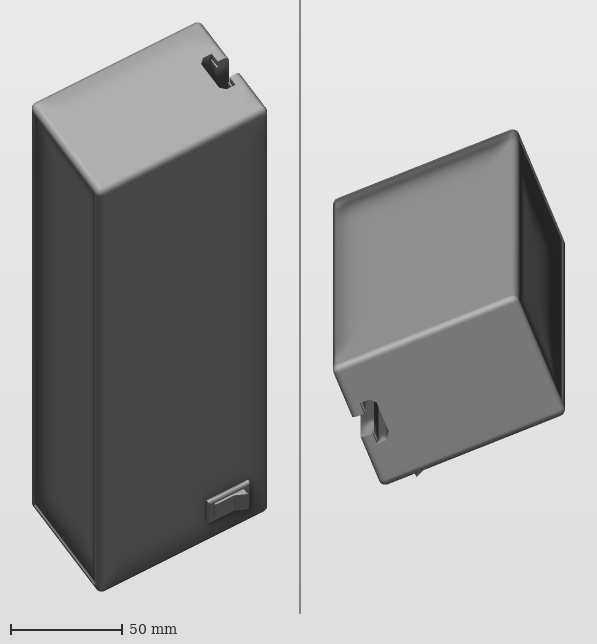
import cadquery as cq

body_width = 60.0
body_depth = 90.0
body_height = 308.0
edge_radius = 3.0
half_width = body_width / 2
half_depth = body_depth / 2

panel_margin = 4.0
panel_recess = 1.0

slot_mouth_width = 10.0
slot_width = 20.3
slot_depth = 13.0
slot_corner = 2.5
slot_lip = 6.5
end_lip = 6.0
end_cap_thickness = 4.0

switch_overhang = 6.0
switch_y = 22.5
switch_z = 25.0
bezel_length = 22.0
bezel_height = 15.7
bezel_thickness = 2.2
bezel_chamfer = 0.5
rocker_length = 16.0
rocker_height = 11.7
rocker_low = 3.0
rocker_tip_length = 6.2
rocker_chamfer = 1.0


def make_body():
    box = cq.Workplane("XY").box(body_width, body_depth, body_height, centered=(True, True, False))
    return box.edges().fillet(edge_radius)


def make_panel_recess():
    return (
        cq.Workplane("XZ", origin=(0, -half_depth, body_height / 2))
        .rect(body_width - 2 * panel_margin, body_height - 2 * panel_margin)
        .extrude(-panel_recess)
    )


def slot_cutter(lip, bottom, height):
    """T-shaped prism: a narrow mouth and a wide pocket with chamfered inner corners."""
    floor = (0, half_depth - slot_depth, bottom)
    pocket = (
        cq.Workplane("XY", origin=floor)
        .box(slot_width, slot_depth - lip, height, centered=(True, False, False))
        .edges("|Z and <Y")
        .chamfer(slot_corner)
    )
    mouth = cq.Workplane("XY", origin=floor).box(
        slot_mouth_width, slot_depth, height, centered=(True, False, False)
    )
    return pocket.union(mouth)


def make_slot():
    slot = slot_cutter(slot_lip, 0, body_height)
    for bottom in (0, body_height - end_cap_thickness):
        slot = slot.union(slot_cutter(end_lip, bottom, end_cap_thickness))
    return slot


def make_switch():
    bezel = (
        cq.Workplane("XY", origin=(half_width, switch_y, switch_z))
        .box(bezel_thickness, bezel_length, bezel_height, centered=(False, True, True))
        .faces(">X")
        .edges()
        .chamfer(bezel_chamfer)
    )
    low_end = -rocker_length / 2
    high_end = rocker_length / 2
    rocker = (
        cq.Workplane("XY", origin=(half_width, switch_y, switch_z))
        .moveTo(0, low_end)
        .lineTo(rocker_low, low_end)
        .lineTo(rocker_low, high_end - rocker_tip_length)
        .lineTo(switch_overhang, high_end)
        .lineTo(0, high_end)
        .close()
        .extrude(rocker_height / 2, both=True)
        .faces(">Y")
        .edges("|X")
        .chamfer(rocker_chamfer)
    )
    return bezel.union(rocker)


result = make_body().cut(make_panel_recess()).cut(make_slot()).union(make_switch())